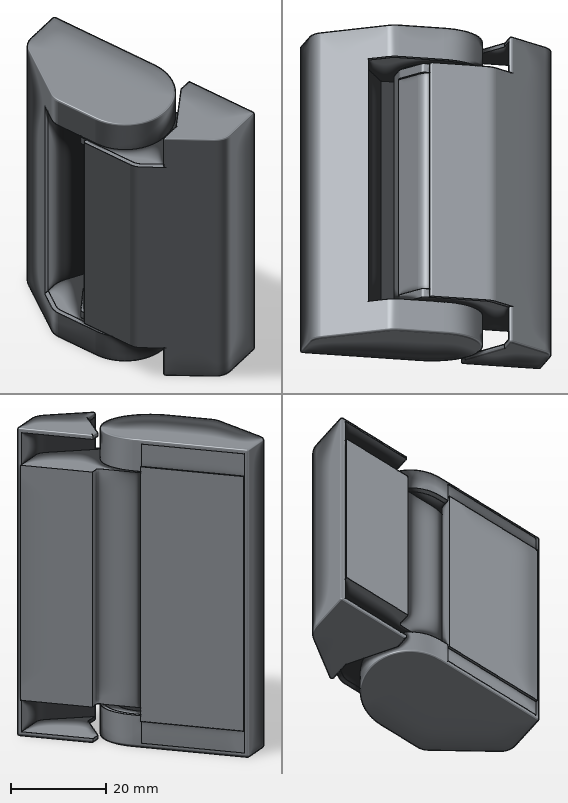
import cadquery as cq
import math


HEIGHT = 67.0
HALF_WIDTH = 26.0
HALF_DEPTH = 10.6
WALL = 1.0
EDGE_ROUND = 0.5
CORNER_ROUND = 4.0
PAD_HEIGHT = 0.5

LEFT_FRONT = -HALF_DEPTH
LEFT_CORNER = 11.0
LEFT_SLANT = 35.6
ARM_GAP_HALF = 26.5
WINDOW_LEFT = -15.55
WINDOW_FLOOR = 8.5
FLOOR_LEFT = -9.05
RAMP_ANGLE = 60.0
RAMP_ROUND = 6.0
WEB_RIGHT = -1.95
LEFT_PAD_HALF = 27.7

RIGHT_FRONT = -10.9
RIGHT_CORNER = 10.3
RIGHT_SLANT = 34.0
BARREL_HALF = 25.5
BARREL_RADIUS = 8.05
BARREL_STEP_HALF = 23.65
LIP_LEFT = -3.0
WING_LEFT = 8.9
WING_LEFT_END = 7.65
WALL_LEFT = 14.95
WALL_LEFT_START = -2.6
BACK_CORNER_ROUND = 0.5

MIDDLE_SLOPE_Y = -2.95
MIDDLE_SLOPE_X = -3.8
MIDDLE_NOSE_ROUND = 4.0
FLANGE_SLOPE_Y = -4.0
FLANGE_SLOPE_X = -4.4
FLANGE_ROUND = 1.0

SPACER_RADIUS = 7.1

HALF_HEIGHT = HEIGHT / 2
INNER_HALF_HEIGHT = HALF_HEIGHT - WALL
INNER_HALF_WIDTH = HALF_WIDTH - WALL
INNER_ROUND = CORNER_ROUND - WALL
RIGHT_INNER_FRONT = RIGHT_FRONT + WALL
PAD_FACE = HALF_DEPTH + PAD_HEIGHT
BEYOND = 2 * HALF_DEPTH


def prism(outline, z_low, z_high):
    """Upright prism over a closed outline of XY points."""
    return cq.Workplane("XY").workplane(offset=z_low).polyline(outline).close().extrude(z_high - z_low)


def block(x_low, x_high, y_low, y_high, half_height):
    """Upright box centred on Z = 0."""
    corners = [(x_low, y_low), (x_high, y_low), (x_high, y_high), (x_low, y_high)]
    return prism(corners, -half_height, half_height)


def round_upright_edge(body, point, radius):
    """Round the vertical edge that stands over an XY point."""
    z_middle = body.val().BoundingBox().center.z
    edge = body.edges("|Z").edges(cq.selectors.NearestToPointSelector((*point, z_middle)))
    return edge.fillet(radius)


def wing_corners(side, front, corner, slant, inset):
    """Front and side ends of a wing's slanted face, moved inwards by the inset.

    The side is -1 for the left wing and +1 for the right wing.
    """
    angle = math.radians(slant)
    side_y = front + (HALF_WIDTH - corner) * math.tan(angle)
    front_end = (side * (corner - inset * math.tan(angle / 2)), front + inset)
    side_end = (side * (HALF_WIDTH - inset), side_y + inset * math.tan((math.pi / 2 - angle) / 2))
    return front_end, side_end


def left_corners(inset):
    return wing_corners(-1, LEFT_FRONT, LEFT_CORNER, LEFT_SLANT, inset)


def right_corners(inset):
    return wing_corners(1, RIGHT_FRONT, RIGHT_CORNER, RIGHT_SLANT, inset)


def left_block(inset):
    """Left wing without its opening: a slanted side and a round knuckle about the axis."""
    front_end, side_end = left_corners(inset)
    radius = HALF_DEPTH - inset
    half_height = HALF_HEIGHT - inset
    body = (
        cq.Workplane("XY")
        .workplane(offset=-half_height)
        .moveTo(side_end[0], radius)
        .lineTo(*side_end)
        .lineTo(*front_end)
        .lineTo(0, -radius)
        .threePointArc((radius, 0), (0, radius))
        .close()
        .extrude(2 * half_height)
    )
    for corner in (front_end, side_end):
        body = round_upright_edge(body, corner, CORNER_ROUND - inset)
    return body


def left_filling():
    """Space inside the left cover, open at the mounting face."""
    opening = block(-INNER_HALF_WIDTH, WEB_RIGHT, HALF_DEPTH / 2, HALF_DEPTH, INNER_HALF_HEIGHT)
    return left_block(WALL).union(opening)


def arm_opening():
    """Opening between the two arms, with a ramp and a floor behind the barrel."""
    ramp_top = WINDOW_FLOOR - (FLOOR_LEFT - WINDOW_LEFT) * math.tan(math.radians(RAMP_ANGLE))
    outline = [
        (WINDOW_LEFT, -BEYOND),
        (WINDOW_LEFT, ramp_top),
        (FLOOR_LEFT, WINDOW_FLOOR),
        (WEB_RIGHT, WINDOW_FLOOR),
        (WEB_RIGHT, BEYOND),
        (BEYOND, BEYOND),
        (BEYOND, -BEYOND),
    ]
    opening = prism(outline, -ARM_GAP_HALF, ARM_GAP_HALF)
    return round_upright_edge(opening, (WINDOW_LEFT, ramp_top), RAMP_ROUND)


def make_left_cover():
    shell = round_upright_edge(left_block(0), (-HALF_WIDTH, HALF_DEPTH), EDGE_ROUND)
    shell = shell.faces("<Z or >Z").edges().fillet(EDGE_ROUND)
    return shell.cut(left_filling()).cut(arm_opening())


def make_left_base():
    base = left_filling().cut(arm_opening())
    pad = block(-INNER_HALF_WIDTH, WEB_RIGHT, WINDOW_FLOOR, PAD_FACE, LEFT_PAD_HALF)
    base = base.union(pad.cut(arm_opening()))
    for arm_side in (-1, 1):
        spacer = (
            cq.Workplane("XY")
            .workplane(offset=arm_side * BARREL_HALF)
            .circle(SPACER_RADIUS)
            .extrude(arm_side * (ARM_GAP_HALF - BARREL_HALF))
        )
        base = base.union(spacer)
    return base


def right_slant_y(x):
    """Y of the right wing's slanted outer face at a given X."""
    front_end, _ = right_corners(0)
    return front_end[1] + (x - front_end[0]) * math.tan(math.radians(RIGHT_SLANT))


def right_block(inset, left, back, half_height):
    """Right wing with a straight left side."""
    front_end, side_end = right_corners(inset)
    outline = [(left, back), (left, front_end[1]), front_end, side_end, (side_end[0], back)]
    body = prism(outline, -half_height, half_height)
    for corner in (front_end, side_end):
        body = round_upright_edge(body, corner, CORNER_ROUND - inset)
    return body


def right_end_block():
    """Full-height part of the right wing, cut back to clear the knuckle arms."""
    _, side_end = right_corners(0)
    wall_front = (WALL_LEFT, right_slant_y(WALL_LEFT))
    outline = [
        (WING_LEFT, HALF_DEPTH),
        (WING_LEFT, WING_LEFT_END),
        (WALL_LEFT, WALL_LEFT_START),
        wall_front,
        side_end,
        (HALF_WIDTH, HALF_DEPTH),
    ]
    body = prism(outline, -HALF_HEIGHT, HALF_HEIGHT)
    body = round_upright_edge(body, side_end, CORNER_ROUND)
    for corner in (wall_front, (HALF_WIDTH, HALF_DEPTH)):
        body = round_upright_edge(body, corner, EDGE_ROUND)
    return body.faces("<Z or >Z").edges().fillet(EDGE_ROUND)


def make_right_cover():
    lip = right_block(0, LIP_LEFT, WING_LEFT_END, BARREL_HALF)
    lip = round_upright_edge(lip, (LIP_LEFT, RIGHT_FRONT), EDGE_ROUND)
    inside = right_block(WALL, -BEYOND, BEYOND, INNER_HALF_HEIGHT)
    return right_end_block().union(lip).cut(inside)


def barrel_slab(slope_y, slope_x, z_low, z_high):
    """Slice of the right base with the barrel, with a sloped face at its front left."""
    front_end, side_end = right_corners(WALL)
    arc_middle = BARREL_RADIUS * math.sqrt(0.5)
    body = (
        cq.Workplane("XY")
        .workplane(offset=z_low)
        .moveTo(-BARREL_RADIUS, slope_y)
        .lineTo(-BARREL_RADIUS, 0)
        .threePointArc((-arc_middle, arc_middle), (0, BARREL_RADIUS))
        .lineTo(WING_LEFT, BARREL_RADIUS)
        .lineTo(WING_LEFT, PAD_FACE)
        .lineTo(INNER_HALF_WIDTH, PAD_FACE)
        .lineTo(*side_end)
        .lineTo(*front_end)
        .lineTo(slope_x, RIGHT_INNER_FRONT)
        .close()
        .extrude(z_high - z_low)
    )
    body = round_upright_edge(body, (WING_LEFT, BARREL_RADIUS), BACK_CORNER_ROUND)
    for corner in (front_end, side_end):
        body = round_upright_edge(body, corner, INNER_ROUND)
    return body


def barrel_flange(z_low, z_high):
    """End slice of the barrel, standing out further than the middle."""
    flange = barrel_slab(FLANGE_SLOPE_Y, FLANGE_SLOPE_X, z_low, z_high)
    flange = round_upright_edge(flange, (FLANGE_SLOPE_X, RIGHT_INNER_FRONT), FLANGE_ROUND)
    return round_upright_edge(flange, (-BARREL_RADIUS, FLANGE_SLOPE_Y), FLANGE_ROUND)


def make_right_base():
    middle = barrel_slab(MIDDLE_SLOPE_Y, MIDDLE_SLOPE_X, -BARREL_STEP_HALF, BARREL_STEP_HALF)
    middle = round_upright_edge(middle, (MIDDLE_SLOPE_X, RIGHT_INNER_FRONT), MIDDLE_NOSE_ROUND)
    upper = barrel_flange(BARREL_STEP_HALF, BARREL_HALF)
    lower = barrel_flange(-BARREL_HALF, -BARREL_STEP_HALF)
    return middle.union(upper).union(lower)


left_cover = make_left_cover()
left_base = make_left_base()
right_cover = make_right_cover()
right_base = make_right_base()

result = cq.Compound.makeCompound([
    left_cover.solids().val(),
    left_base.solids().val(),
    right_cover.solids().val(),
    right_base.solids().val(),
])